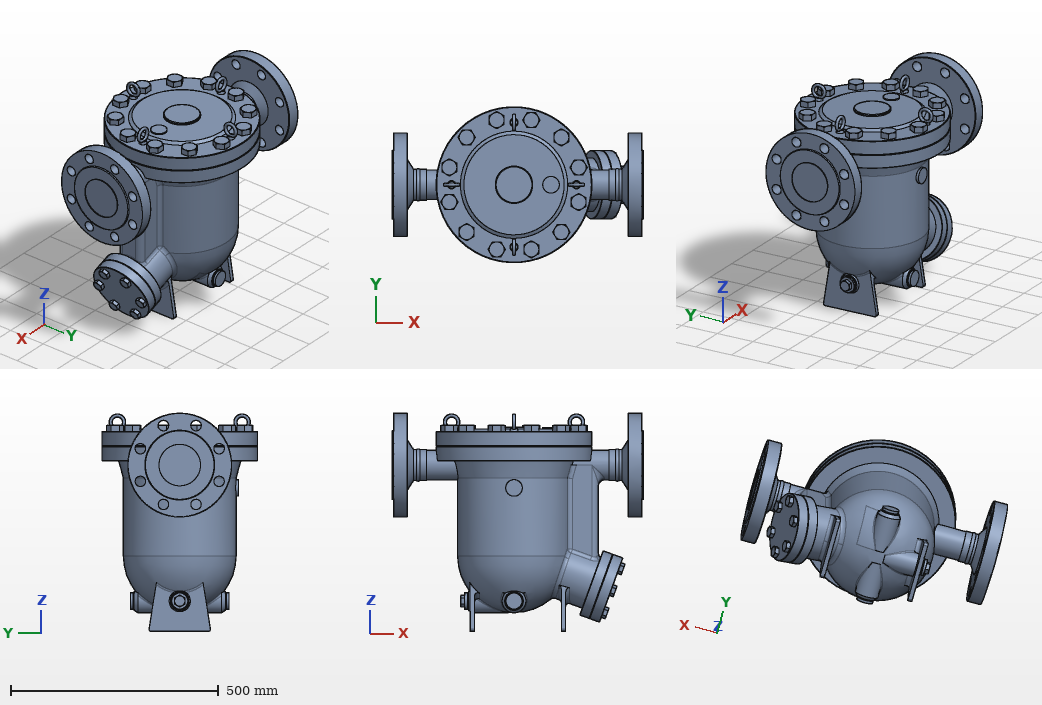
import cadquery as cq
import math


edge_margin = 1.0

vessel_radius = 136.0
dome_center_z = -219.0
seam_angle = 145.0
shoulder_bottom_z = -31.0
shoulder_top_radius = 147.0

cover_diameter = 375.0
body_flange_bottom_z = 10.0
cover_joint_z = 45.0
cover_top_z = 81.0
cover_edge_chamfer = 1.5
pad_bottom_radius = 129.0
pad_top_radius = 120.5
pad_top_z = 87.0
center_boss_diameter = 90.0
center_boss_top_z = 92.0
center_boss_chamfer = 2.0
side_boss_diameter = 40.0
side_boss_x = 89.0
side_boss_top_z = 90.0

cover_bolt_count = 12
cover_bolt_circle_radius = 161.0
cover_bolt_flats = 36.0
cover_bolt_head_height = 15.0

eye_count = 4
eye_circle_radius = 150.0
eye_outer_diameter = 40.0
eye_inner_diameter = 24.0
eye_top_z = 123.0
eye_collar_diameter = 20.0
eye_neck_diameter = 16.0
eye_collar_height = 7.0

inlet_face_x = -293.0
outlet_face_x = 311.0
pipe_diameter = 72.0
pipe_end_diameter = 75.0
flange_diameter = 250.0
raised_face_diameter = 165.0
raised_face_height = 3.5
raised_face_flare = 1.5
flange_back = 37.0
flange_edge_chamfer = 1.5
hub_base_diameter = 120.0
hub_tip = 51.5
weld_bead_start = 58.0
weld_bead_end = 67.0
weld_bead_height = 1.5
pipe_end_length = 83.0
bore_diameter = 100.0
bore_depth = 2.0
flange_hole_count = 8
flange_hole_diameter = 25.0
flange_hole_circle = 205.0

duct_outer_x = 203.0
duct_corner_radius = 16.0
duct_bottom_z = -260.0
outlet_blend_radius = 15.0

neck_tilt = 20.0
neck_origin_z = -215.5
neck_diameter = 130.0
neck_flange_diameter = 165.0
neck_flange_start = 198.0
neck_joint = 223.0
neck_end = 249.0
neck_edge_chamfer = 1.0
neck_bolt_count = 6
neck_bolt_circle_radius = 65.0
neck_bolt_flats = 24.0
neck_bolt_head_height = 10.0
neck_blend_radius = 13.0

drain_axis_z = -327.0
drain_radius = 28.5
drain_shoulder = 101.0
drain_taper_end = 109.5
drain_tip_radius = 22.5
plug_radius = 20.0
plug_neck_diameter = 38.67
plug_neck_end = 112.0
plug_end = 118.5
drain_angles = (0, 90, -90)
drain_blend_radius = 4.0
drain_blend_start = 15.0
plug_hex_flats = 25.0
plug_hex_length = 10.0

foot_bottom_z = -400.0
foot_top_z = -270.0
foot_thickness = 10.5
foot_bottom_width = 150.0
foot_taper = 9.2
foot_corner_radius = 5.0
foot_blend_radius = 7.5
dome_foot_x = -100.0
neck_foot_x = 119.0

front_boss_diameter = 40.0
front_boss_z = -55.0
front_boss_face_y = -141.5


def turn_about_z(shape, angle):
    return shape.rotate((0, 0, 0), (0, 0, 1), angle)


def ring_angles(count, first):
    """Directions in degrees of items spaced evenly around a circle."""
    return [first + 360 / count * index for index in range(count)]


def cylinder_x(diameter, start, end):
    """Cylinder along the pipe axis between two X positions."""
    return cq.Workplane("YZ").workplane(offset=start).circle(diameter / 2).extrude(end - start)


def hex_head(flats, height):
    """Hexagon head standing on Z = 0, a corner on +X and its top corners chamfered."""
    corners = flats / math.cos(math.radians(30))
    head = cq.Workplane("XY").polygon(6, corners).extrude(height)
    crown = cq.Workplane("XY").circle(corners / 2).extrude(height)
    crown = crown.faces(">Z").chamfer((corners - flats) / 4, (corners - flats) / 2)
    return head.intersect(crown)


def make_vessel():
    """Hemispherical bottom, straight wall and flared shoulder below the flange."""
    profile = (
        cq.Workplane("XZ")
        .moveTo(0, dome_center_z - vessel_radius)
        .radiusArc((vessel_radius, dome_center_z), -vessel_radius)
        .lineTo(vessel_radius, shoulder_bottom_z)
        .lineTo(shoulder_top_radius, body_flange_bottom_z)
        .lineTo(0, body_flange_bottom_z)
        .close()
    )
    return turn_about_z(profile.revolve(360, (0, 0, 0), (0, 1, 0)), seam_angle)


def make_duct():
    """Vertical duct, as wide as the pipe, hanging from the outlet pipe axis."""
    return (
        cq.Workplane("XY")
        .workplane(offset=duct_bottom_z)
        .center(duct_outer_x / 2, 0)
        .rect(duct_outer_x, pipe_diameter)
        .extrude(-duct_bottom_z)
        .edges("|Z and >X")
        .fillet(duct_corner_radius)
    )


def along_neck(shape):
    """Move a shape built along +Z onto the neck axis, starting at the vessel axis."""
    turned = shape.rotate((0, 0, 0), (0, 1, 0), 90 + neck_tilt)
    return turned.translate((0, 0, neck_origin_z))


def make_neck():
    return along_neck(cq.Workplane("XY").circle(neck_diameter / 2).extrude(neck_flange_start))


def make_neck_cover():
    """Neck flange, its blind cover and the cover bolts."""
    body = cq.Workplane("XY").workplane(offset=neck_flange_start)
    body = body.circle(neck_flange_diameter / 2).extrude(neck_joint - neck_flange_start)
    body = body.edges().chamfer(neck_edge_chamfer)
    blind = cq.Workplane("XY").workplane(offset=neck_joint)
    blind = blind.circle(neck_flange_diameter / 2).extrude(neck_end - neck_joint)
    blind = blind.edges().chamfer(neck_edge_chamfer)
    cover = body.union(blind)
    bolt = hex_head(neck_bolt_flats, neck_bolt_head_height)
    bolt = bolt.translate((0, neck_bolt_circle_radius, neck_end))
    for angle in ring_angles(neck_bolt_count, 0):
        cover = cover.union(turn_about_z(bolt, angle))
    return along_neck(cover)


def make_pipe(face_x):
    """Pipe from the vessel axis to a welding-neck flange whose face is at face_x."""
    pipe_radius = pipe_diameter / 2
    end_radius = pipe_end_diameter / 2
    bead_radius = end_radius + weld_bead_height
    bead_middle = (weld_bead_start + weld_bead_end) / 2
    length = abs(face_x)
    profile = (
        cq.Workplane("XY")
        .moveTo(0, 0)
        .lineTo(0, raised_face_diameter / 2)
        .lineTo(raised_face_height, raised_face_diameter / 2 + raised_face_flare)
        .lineTo(raised_face_height, flange_diameter / 2)
        .lineTo(flange_back - flange_edge_chamfer, flange_diameter / 2)
        .lineTo(flange_back, flange_diameter / 2 - flange_edge_chamfer)
        .lineTo(flange_back, hub_base_diameter / 2)
        .lineTo(hub_tip, end_radius)
        .lineTo(weld_bead_start, end_radius)
        .threePointArc((bead_middle, bead_radius), (weld_bead_end, end_radius))
        .lineTo(pipe_end_length, end_radius)
        .lineTo(pipe_end_length, pipe_radius)
        .lineTo(length, pipe_radius)
        .lineTo(length, 0)
        .close()
    )
    pipe = profile.revolve(360, (0, 0, 0), (1, 0, 0))
    holes = (
        cq.Workplane("YZ")
        .polarArray(flange_hole_circle / 2, 180 / flange_hole_count, 360, flange_hole_count)
        .circle(flange_hole_diameter / 2)
        .extrude(flange_back)
    )
    pipe = pipe.cut(holes).cut(cylinder_x(bore_diameter, 0, bore_depth))
    if face_x > 0:
        pipe = pipe.mirror("YZ")
    return pipe.translate((face_x, 0, 0))


def make_cover():
    """Body flange, cover plate, raised pad and the two round bosses on top."""
    flange = cq.Workplane("XY").workplane(offset=body_flange_bottom_z).circle(cover_diameter / 2)
    flange = flange.extrude(cover_joint_z - body_flange_bottom_z).edges().chamfer(cover_edge_chamfer)
    plate = cq.Workplane("XY").workplane(offset=cover_joint_z).circle(cover_diameter / 2)
    plate = plate.extrude(cover_top_z - cover_joint_z).edges().chamfer(cover_edge_chamfer)
    pad = (
        cq.Workplane("XZ")
        .moveTo(0, cover_top_z)
        .lineTo(pad_bottom_radius, cover_top_z)
        .lineTo(pad_top_radius, pad_top_z)
        .lineTo(0, pad_top_z)
        .close()
        .revolve(360, (0, 0, 0), (0, 1, 0))
    )
    center_boss = cq.Workplane("XY").workplane(offset=pad_top_z).circle(center_boss_diameter / 2)
    center_boss = center_boss.extrude(center_boss_top_z - pad_top_z)
    center_boss = center_boss.faces(">Z").chamfer(center_boss_chamfer)
    side_boss = cq.Workplane("XY").workplane(offset=pad_top_z).center(side_boss_x, 0)
    side_boss = side_boss.circle(side_boss_diameter / 2).extrude(side_boss_top_z - pad_top_z)
    return flange.union(plate).union(pad).union(center_boss).union(side_boss)


def make_cover_bolt():
    """Cover bolt head on the +X axis, its hexagon turned by half a bolt pitch."""
    bolt = turn_about_z(hex_head(cover_bolt_flats, cover_bolt_head_height), -180 / cover_bolt_count)
    return bolt.translate((cover_bolt_circle_radius, 0, cover_top_z))


def make_lifting_eye():
    """Ring on the +X axis, standing in a radial plane on a tapered collar."""
    wire_radius = (eye_outer_diameter - eye_inner_diameter) / 4
    ring_radius = (eye_outer_diameter + eye_inner_diameter) / 4
    ring_z = eye_top_z - eye_outer_diameter / 2
    ring = cq.Workplane(cq.Solid.makeTorus(ring_radius, wire_radius, cq.Vector(), cq.Vector(0, 1, 0)))
    ring = ring.translate((eye_circle_radius, 0, ring_z))
    collar = cq.Workplane(
        cq.Solid.makeCone(eye_collar_diameter / 2, eye_neck_diameter / 2, eye_collar_height)
    ).translate((eye_circle_radius, 0, cover_top_z))
    return ring.union(collar)


def make_drain_tip():
    """Outer end of the -X drain arm: a taper, then a round plug on a short neck."""
    tip = (
        cq.Workplane("XY")
        .moveTo(drain_shoulder, 0)
        .lineTo(drain_shoulder, drain_radius)
        .lineTo(drain_taper_end, drain_tip_radius)
        .lineTo(drain_taper_end, plug_neck_diameter / 2)
        .lineTo(plug_neck_end, plug_neck_diameter / 2)
        .lineTo(plug_neck_end, plug_radius)
        .lineTo(plug_end, plug_radius)
        .lineTo(plug_end, 0)
        .close()
        .revolve(360, (0, 0, 0), (1, 0, 0))
    )
    return turn_about_z(tip, 180).translate((0, 0, drain_axis_z))


def make_drain_blend():
    """Straight part of the -X drain arm together with its rounded junction to the dome."""
    arm = cylinder_x(2 * drain_radius, -plug_end, 0)
    arm = arm.rotate((0, 0, 0), (1, 0, 0), -90).translate((0, 0, drain_axis_z))
    body = make_vessel().union(arm)
    body = body.edges("%BSPLINE").fillet(drain_blend_radius)
    keep = (
        cq.Workplane("XY")
        .workplane(offset=drain_axis_z)
        .center(-(drain_shoulder + drain_blend_start) / 2, 0)
        .rect(drain_shoulder - drain_blend_start, 4 * drain_radius)
        .extrude(1.5 * drain_radius, both=True)
    )
    return body.intersect(keep)


def make_drain_hex():
    """Hexagon of the drain plug at the end of the -X arm, corners up and down."""
    head = hex_head(plug_hex_flats, plug_hex_length)
    head = head.rotate((0, 0, 0), (0, 1, 0), -90)
    return head.translate((-plug_end, 0, drain_axis_z))


def make_foot(center_x):
    """Tapered plate reaching from the floor up into the vessel."""
    height = foot_top_z - foot_bottom_z
    half_bottom = foot_bottom_width / 2
    half_top = half_bottom - height * math.tan(math.radians(foot_taper))
    return (
        cq.Workplane("YZ")
        .workplane(offset=center_x - foot_thickness / 2)
        .polyline(
            [
                (-half_bottom, foot_bottom_z),
                (half_bottom, foot_bottom_z),
                (half_top, foot_top_z),
                (-half_top, foot_top_z),
            ]
        )
        .close()
        .extrude(foot_thickness)
        .edges("|X and <Z")
        .fillet(foot_corner_radius)
    )


def blend_foot(body, center_x):
    """Round the corners between the two broad faces of a foot and the surface it grows from."""
    for face_x in (center_x - foot_thickness / 2, center_x + foot_thickness / 2):
        top_edge = cq.selectors.BoxSelector(
            (face_x - edge_margin, -foot_bottom_width / 2, drain_axis_z),
            (face_x + edge_margin, foot_bottom_width / 2, foot_top_z),
        )
        body = body.edges(top_edge).fillet(foot_blend_radius)
    return body


def make_front_boss():
    boss = cq.Workplane("XZ").center(0, front_boss_z).circle(front_boss_diameter / 2)
    return boss.extrude(-front_boss_face_y)


def blend_neck_and_duct(body):
    """Round the corners where the duct and the neck meet the vessel and each other."""
    half_width = neck_diameter / 2
    on_vessel = cq.selectors.BoxSelector(
        (vessel_radius - pipe_diameter / 2, -half_width, dome_center_z - vessel_radius),
        (shoulder_top_radius, half_width, -edge_margin),
    )
    duct_on_neck = cq.selectors.BoxSelector(
        (vessel_radius - duct_corner_radius, -half_width, neck_origin_z - duct_corner_radius),
        (duct_outer_x + edge_margin, half_width, neck_origin_z + duct_corner_radius),
    )
    return body.edges(on_vessel + duct_on_neck).fillet(neck_blend_radius)


def blend_outlet(body):
    """Round the corner between the outer duct wall and the outlet pipe."""
    pipe_radius = pipe_diameter / 2
    corner = cq.selectors.BoxSelector(
        (duct_outer_x - duct_corner_radius - edge_margin, -pipe_radius, -pipe_radius - edge_margin),
        (duct_outer_x + edge_margin, pipe_radius, -edge_margin),
    )
    return body.edges(corner).fillet(outlet_blend_radius)


result = blend_neck_and_duct(make_vessel().union(make_duct()).union(make_neck()))
result = blend_outlet(result.union(make_pipe(outlet_face_x)))
result = result.union(make_pipe(inlet_face_x))

result = blend_foot(result.union(make_foot(dome_foot_x)), dome_foot_x)
result = result.union(blend_foot(make_neck().union(make_foot(neck_foot_x)), neck_foot_x))

drain_blend = make_drain_blend()
drain_tip = make_drain_tip()
for angle in drain_angles:
    result = result.union(turn_about_z(drain_blend, angle))
    result = result.union(turn_about_z(drain_tip, angle))
result = result.union(make_drain_hex())

cover = make_cover()
cover_bolt = make_cover_bolt()
for angle in ring_angles(cover_bolt_count, 180 / cover_bolt_count):
    cover = cover.union(turn_about_z(cover_bolt, angle))
lifting_eye = make_lifting_eye()
for angle in ring_angles(eye_count, 0):
    cover = cover.union(turn_about_z(lifting_eye, angle))
result = result.union(make_neck_cover()).union(cover).union(make_front_boss())